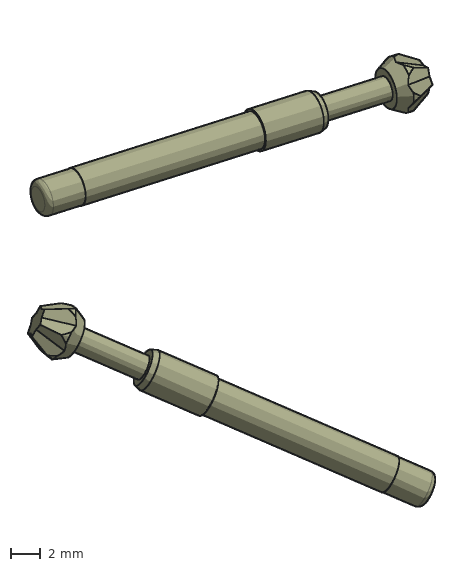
import cadquery as cq
import math

total_length = 30.3

tube_diameter = 2.7
plug_diameter = 2.65
plug_length = 2.97
tail_fillet = 0.42
collar_diameter = 3.0
collar_start = 17.03
collar_end = 22.03
collar_lead_length = 0.45
collar_lead_diameter = 2.67

stem_diameter = 1.8

head_length = 2.97
head_diameter = 4.0
rim_depth = 1.97
head_back_diameter = 2.9
star_points = 6
tip_ridge_radius = 1.18
ridge_slope = 0.59
valley_ratio = 0.76


def rod(diameter, start, end):
    """Cylinder on the Y axis between two Y positions."""
    disc = cq.Workplane("XZ", origin=(0, start, 0)).circle(diameter / 2)
    return disc.extrude(start - end)


def make_barrel():
    """Plug with a rounded tail, tube and collar with a conical lead-in."""
    plug = rod(plug_diameter, 0, plug_length).faces("<Y").edges().fillet(tail_fillet)
    tube = rod(tube_diameter, plug_length, collar_start)
    lead_step = (collar_diameter - collar_lead_diameter) / 2
    collar = rod(collar_diameter, collar_start, collar_end)
    collar = collar.faces(">Y").chamfer(collar_lead_length, lead_step)
    return plug.union(tube).union(collar)


def star_outline(ridge_radius):
    """Star corners with alternating ridges and valleys; the first ridge lies on +X."""
    corners = []
    for i in range(2 * star_points):
        angle = math.pi * i / star_points
        radius = ridge_radius if i % 2 == 0 else ridge_radius * valley_ratio
        corners.append((radius * math.cos(angle), radius * math.sin(angle)))
    return corners


def make_head():
    """Fluted pyramid trimmed by a cylindrical rim and a conical back."""
    back_ridge_radius = tip_ridge_radius + ridge_slope * head_length
    star = (
        cq.Workplane("XZ", origin=(0, total_length, 0))
        .polyline(star_outline(tip_ridge_radius))
        .close()
        .workplane(offset=head_length)
        .polyline(star_outline(back_ridge_radius))
        .close()
        .loft(ruled=True)
    )
    envelope = (
        cq.Workplane("XY")
        .moveTo(0, total_length)
        .lineTo(head_diameter / 2, total_length)
        .lineTo(head_diameter / 2, total_length - rim_depth)
        .lineTo(head_back_diameter / 2, total_length - head_length)
        .lineTo(0, total_length - head_length)
        .close()
        .revolve(360, (0, 0, 0), (0, 1, 0))
    )
    return star.intersect(envelope)


stem = rod(stem_diameter, collar_end, total_length - head_length)
result = make_barrel().union(stem).union(make_head())